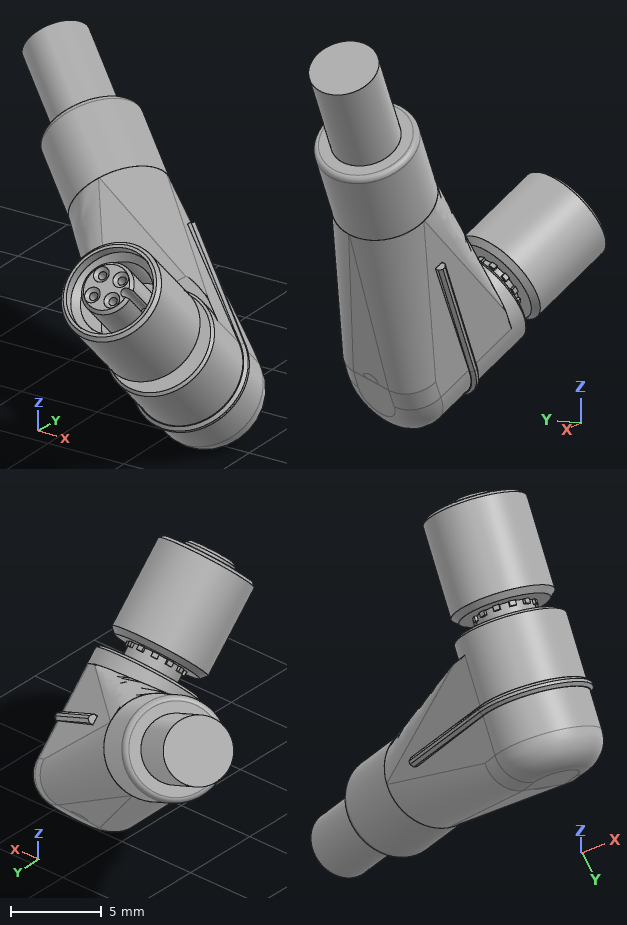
import cadquery as cq
import math


cable_diameter = 4.0
cable_end = 23.21
boot_diameter = 6.0
boot_start = 12.2
boot_end = 17.27
boot_edge_radius = 0.33

housing_diameter = 6.5
housing_bottom = -4.5
housing_edge_radius = 1.88
collar_top = 4.5
collar_edge_chamfer = 0.16
flat_top = 3.3
flat_start = 3.65
taper_end = 1.4
sharp_corner_radius = 0.05
boot_flat = 0.05

rib_end = 8.52
rib_height = 0.23
rib_width = 0.56
rib_chamfer = 0.19

neck_diameter = 3.4
tooth_count = 12
tooth_tip_diameter = 3.7
tooth_width = 0.38
tooth_start = 5.19
sleeve_diameter = 6.0
sleeve_bottom = 5.47
sleeve_top = 11.55
sleeve_bottom_chamfer = 0.35
sleeve_top_chamfer = 0.2
sleeve_floor = 7.5
bore_diameter = 4.4
mouth_diameter = 5.2
mouth_depth = 0.63
insert_diameter = 3.15
insert_top = 12.02
insert_edge_chamfer = 0.19

contact_count = 4
contact_circle_diameter = 1.8
contact_diameter = 0.5
contact_mouth_diameter = 0.95
contact_mouth_depth = 0.19
contact_depth = 2.82
key_diameter = 0.52
key_angle = 225.0
key_reach = 0.6
key_depth = 2.82

tilt = math.sqrt(0.5)
cable_direction = (-tilt, 0.5, 0.5)
plug_direction = (0, -tilt, tilt)


def cylinder(diameter, bottom, top):
    """Cylinder on the plug axis."""
    return cq.Workplane("XY", origin=(0, 0, bottom)).circle(diameter / 2).extrude(top - bottom)


def body_section(x, half_width, bottom, top, bottom_radius, top_radius):
    """Rounded rectangle across the cable axis, with separate radii for bottom and top corners."""
    diagonal = 1 - math.sqrt(0.5)
    low = bottom + bottom_radius
    high = top - top_radius
    low_side = half_width - bottom_radius
    high_side = half_width - top_radius
    low_in = bottom_radius * diagonal
    high_in = top_radius * diagonal
    return (
        cq.Workplane("YZ", origin=(x, 0, 0))
        .moveTo(-low_side, bottom)
        .lineTo(low_side, bottom)
        .threePointArc((half_width - low_in, bottom + low_in), (half_width, low))
        .lineTo(half_width, high)
        .threePointArc((half_width - high_in, top - high_in), (high_side, top))
        .lineTo(-high_side, top)
        .threePointArc((high_in - half_width, top - high_in), (-half_width, high))
        .lineTo(-half_width, low)
        .threePointArc((low_in - half_width, bottom + low_in), (-low_side, bottom))
        .close()
    )


def cable_and_boot():
    cable = cq.Workplane("YZ").circle(cable_diameter / 2).extrude(cable_end)
    boot = (
        cq.Workplane("YZ", origin=(boot_start, 0, 0))
        .circle(boot_diameter / 2)
        .extrude(boot_end - boot_start)
        .faces(">X").edges().fillet(boot_edge_radius)
    )
    return cable.union(boot)


def body_loft(start_section, end_section):
    """Straight-sided solid between two cross sections."""
    return cq.Workplane(
        cq.Solid.makeLoft([start_section.wire().val(), end_section.wire().val()], True)
    )


def tapered_body():
    """Round-to-square body from the boot to the housing, with its flat top."""
    housing_radius = housing_diameter / 2
    boot_radius = boot_diameter / 2
    boot_corner_radius = boot_radius - boot_flat / 2
    wide_half_width = housing_radius - (housing_radius - boot_radius) * taper_end / boot_start
    rise_to_flat = flat_top - boot_radius
    taper_top = boot_radius + rise_to_flat * (boot_start - taper_end) / (boot_start - flat_start)
    heights_and_radii = (housing_bottom, taper_top, housing_edge_radius, sharp_corner_radius)

    housing_section = body_section(0, housing_radius, *heights_and_radii)
    wide_section = body_section(taper_end, wide_half_width, *heights_and_radii)
    round_section = body_section(
        boot_start, boot_radius, -boot_radius, boot_radius, boot_corner_radius, boot_corner_radius
    )
    above_flat = (
        cq.Workplane("XY", origin=(0, 0, flat_top))
        .rect(2 * boot_start, 2 * housing_diameter)
        .extrude(collar_top)
    )
    return (
        body_loft(wide_section, round_section)
        .union(body_loft(housing_section, wide_section))
        .cut(above_flat)
        .clean()
    )


def housing():
    return (
        cylinder(housing_diameter, housing_bottom, collar_top)
        .faces("<Z").edges().fillet(housing_edge_radius)
        .faces(">Z").edges().chamfer(collar_edge_chamfer)
    )


def rib():
    """Slab with a round end that leaves a bevelled rib standing out all around the housing."""
    radius = housing_diameter / 2 + rib_height
    return (
        cq.Workplane("XY", origin=(0, 0, -rib_width / 2))
        .moveTo(rib_end, -radius)
        .lineTo(0, -radius)
        .threePointArc((-radius, 0), (0, radius))
        .lineTo(rib_end, radius)
        .close()
        .extrude(rib_width)
        .faces("|Z").edges("not >X").chamfer(rib_chamfer)
    )


def sleeve():
    body = (
        cylinder(sleeve_diameter, sleeve_bottom, sleeve_top)
        .faces("<Z").edges().chamfer(sleeve_bottom_chamfer)
        .faces(">Z").edges().chamfer(sleeve_top_chamfer)
    )
    bore = cylinder(bore_diameter, sleeve_floor, sleeve_top)
    mouth_bottom = sleeve_top - mouth_depth
    mouth = cylinder(mouth_diameter, mouth_bottom, sleeve_top)
    cone_height = (mouth_diameter - bore_diameter) / 2
    cone_bottom = cq.Vector(0, 0, mouth_bottom - cone_height)
    lead_in = cq.Workplane(
        cq.Solid.makeCone(bore_diameter / 2, mouth_diameter / 2, cone_height, cone_bottom)
    )
    return body.cut(bore).cut(lead_in).cut(mouth)


def neck():
    """Neck under the sleeve with its ring of small locking teeth."""
    tooth_length = tooth_tip_diameter / 2
    tooth_ring = (
        cq.Workplane("XY", origin=(0, 0, tooth_start))
        .polarArray(tooth_length / 2, key_angle, 360, tooth_count)
        .rect(tooth_length, tooth_width)
        .extrude(sleeve_bottom - tooth_start)
    )
    return cylinder(neck_diameter, collar_top, sleeve_bottom).union(tooth_ring)


def insert():
    body = (
        cylinder(insert_diameter, sleeve_floor, insert_top)
        .faces(">Z").edges().chamfer(insert_edge_chamfer)
    )
    face = cq.Workplane("XY", origin=(0, 0, insert_top))
    contacts = (
        face.polarArray(contact_circle_diameter / 2, 0, 360, contact_count)
        .circle(contact_diameter / 2)
        .extrude(-contact_depth)
    )
    countersink = cq.Solid.makeCone(
        contact_diameter / 2, contact_mouth_diameter / 2, contact_mouth_depth
    )
    contact_mouths = (
        cq.Workplane("XY", origin=(0, 0, insert_top - contact_mouth_depth))
        .polarArray(contact_circle_diameter / 2, 0, 360, contact_count)
        .eachpoint(lambda place: countersink.located(place))
    )
    key_groove = (
        face.polarArray(insert_diameter / 2, key_angle, 360, 1)
        .slot2D(2 * key_reach, key_diameter)
        .extrude(-key_depth)
    )
    return body.cut(contacts).cut(contact_mouths).cut(key_groove)


connector = (
    housing()
    .union(tapered_body())
    .union(cable_and_boot())
    .union(rib())
    .union(neck())
    .union(sleeve())
    .union(insert())
)

placement = cq.Plane(origin=(0, 0, 0), xDir=cable_direction, normal=plug_direction)
result = cq.Workplane(connector.solids().val().moved(cq.Location(placement)))